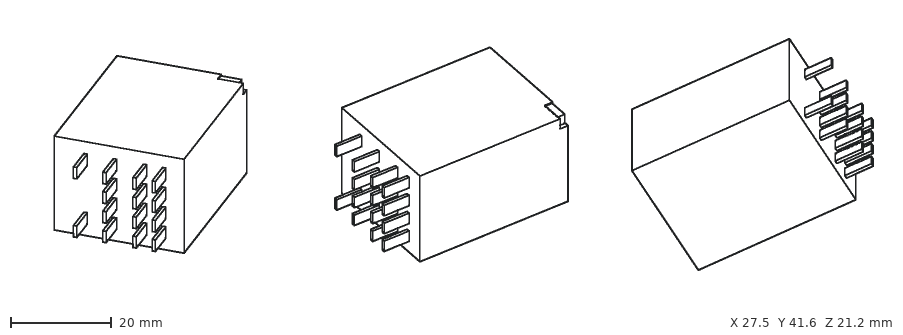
import cadquery as cq

body_width = 27.5
body_height = 21.2
overall_length = 41.6
pin_length = 6.0
body_length = overall_length - pin_length

pin_thickness = 0.7
pin_height = 2.6
row_pitch = 4.4
row_count = 4
coil_column_x = -7.07
contact_columns_x = (-0.87, 5.55, 9.55)

notch_width = 5.4
notch_length = 1.95
notch_depth = 2.5
button_side_gap = 1.0
button_rear_gap = 0.12
button_top_drop = 0.25


def corner_box(size, corner):
    """Box extending in +X, +Y and +Z from its lowest corner."""
    return cq.Workplane("XY").box(*size, centered=False).translate(corner)


def pin(x, z):
    """Flat pin centred at (x, z), projecting forward from the housing."""
    size = (pin_thickness, pin_length, pin_height)
    return corner_box(size, (x - pin_thickness / 2, -pin_length, z - pin_height / 2))


housing = corner_box((body_width, body_length, body_height), (-body_width / 2, 0, -body_height / 2))

notch_corner = (body_width / 2 - notch_width, body_length - notch_length, body_height / 2 - notch_depth)
notch = corner_box((notch_width, notch_length, notch_depth), notch_corner)
button_size = (
    notch_width - button_side_gap,
    notch_length - button_rear_gap,
    notch_depth - button_top_drop,
)
result = housing.cut(notch).union(corner_box(button_size, notch_corner))

rows_z = [(row - (row_count - 1) / 2) * row_pitch for row in range(row_count)]
for column_x in contact_columns_x:
    for row_z in rows_z:
        result = result.union(pin(column_x, row_z))
for row_z in (rows_z[0], rows_z[-1]):
    result = result.union(pin(coil_column_x, row_z))